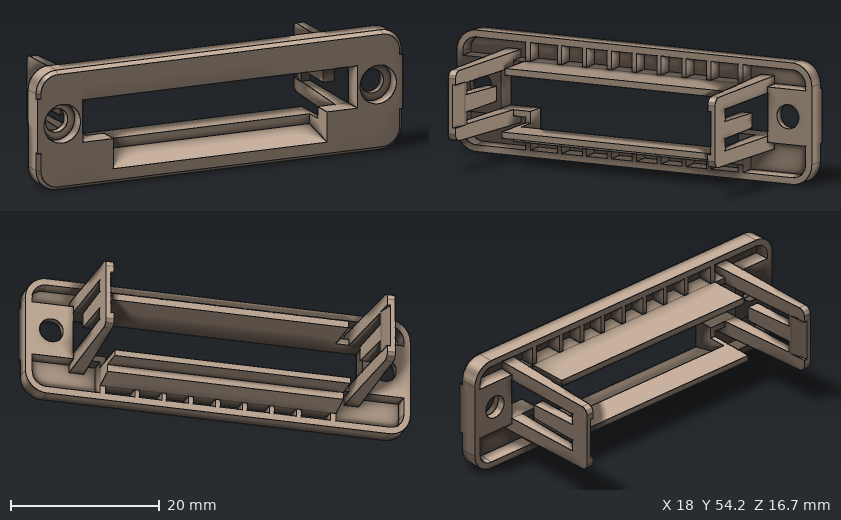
import cadquery as cq
import math

plate_length = 54.24
plate_height = 16.7
plate_thickness = 3.0
corner_radius = 3.0
back_chamfer = 0.5

rim_width = 0.95
window_wall = 0.85
pocket_depth = 2.0
pocket_draft = 4.0
end_pocket_radius = corner_radius - rim_width

axis_z = 0.9
screw_hole_diameter = 3.3
screw_hole_y = 23.45
counterbore_diameter = 5.4
counterbore_depth = 1.85
window_height = 5.9
window_half_length = 20.38

shelf_half_length = 16.6
rib_width = 0.65
rib_pitch = 3.8
ribs_each_side = 3
end_rib_width = 0.75

upper_shelf_reach = 5.8
upper_shelf_thickness = 0.95

lower_shelf_tip_top = -3.77
lower_shelf_root_top = -3.68
lower_shelf_reach = 6.7
lip_thickness = 0.86
upright_web_thickness = 0.8
sloping_web_thickness = 0.7
web_front_x = -3.4
web_corner_z = -5.63
web_angle = math.degrees(math.atan2(0.72, 3.4))

arm_length = 15.0
arm_outer_y = window_half_length
arm_tip_thickness = 1.13
arm_root_thickness = 1.94
arm_tip_height = 9.6
arm_root_height = 10.0
arm_corner_radius = 1.0
arm_bridge = 2.92
arm_slot_tip_height = 5.7
tongue_reach = 4.4
tongue_base_height = 2.4
tongue_end_height = 2.05
tip_recess_length = 2.5
tip_recess_thickness = 0.68

half_length = plate_length / 2
half_height = plate_height / 2
rim_y = half_length - rim_width
rim_z = half_height - rim_width
window_top = axis_z + window_height / 2
window_bottom = axis_z - window_height / 2
upper_wall_top = window_top + window_wall
lower_wall_bottom = window_bottom - window_wall
inner_half_length = shelf_half_length - end_rib_width
web_slope = math.tan(math.radians(web_angle))
web_vertical = sloping_web_thickness / math.cos(math.radians(web_angle))
web_back_x = web_front_x + upright_web_thickness


def box(x_range, y_range, z_range):
    """Axis-aligned box from three (low, high) pairs."""
    lows = (x_range[0], y_range[0], z_range[0])
    sizes = [high - low for low, high in (x_range, y_range, z_range)]
    return cq.Workplane("XY").box(*sizes, centered=False).translate(lows)


def side_prism(points, y_low, y_high):
    """Outline in X and Z, extruded from y_low to y_high."""
    prism = cq.Workplane("XZ").polyline(points).close().extrude(y_low - y_high)
    return prism.translate((0, y_low, 0))


def both_ends(feature):
    """A feature together with its mirror image about Y = 0."""
    return feature.union(feature.mirror("XZ"))


def web_underside(x):
    """Height of the sloping underside of the lower web."""
    return web_corner_z - (x - web_front_x) * web_slope


web_root_z = web_underside(0)


def make_plate():
    """Rounded plate with chamfered back edge, left square on the end tabs."""
    plate = cq.Workplane("YZ").rect(plate_length, plate_height).extrude(plate_thickness)
    plate = plate.edges("|X").fillet(corner_radius)
    plate = plate.faces(">X").edges().chamfer(back_chamfer)
    tab = box(
        (0, plate_thickness),
        (half_length - 2 * back_chamfer, half_length),
        (lower_wall_bottom, upper_wall_top),
    )
    return plate.union(both_ends(tab))


def drafted_pocket(outline):
    """Pocket sunk from the front face, with drafted walls."""
    return outline.extrude(pocket_depth, taper=pocket_draft)


def end_pocket(wall_z, side):
    """Pockets at both ends, above (side = 1) or below (side = -1) the screw holes."""
    arc_shift = end_pocket_radius * (1 - math.sqrt(0.5))
    outline = (
        cq.Workplane("YZ")
        .moveTo(shelf_half_length, wall_z)
        .lineTo(rim_y, wall_z)
        .lineTo(rim_y, side * (rim_z - end_pocket_radius))
        .threePointArc(
            (rim_y - arc_shift, side * (rim_z - arc_shift)),
            (rim_y - end_pocket_radius, side * rim_z),
        )
        .lineTo(shelf_half_length, side * rim_z)
        .close()
    )
    return both_ends(drafted_pocket(outline))


def rib_row_pockets(z_low, z_high):
    """Row of pockets along the plate, split by ribs."""
    rib_centres = [index * rib_pitch for index in range(-ribs_each_side, ribs_each_side + 1)]
    starts = [-inner_half_length] + [centre + rib_width / 2 for centre in rib_centres]
    ends = [centre - rib_width / 2 for centre in rib_centres] + [inner_half_length]
    row = cq.Workplane("YZ")
    for start, end in zip(starts, ends):
        outline = cq.Workplane("YZ").center((start + end) / 2, (z_low + z_high) / 2)
        row = row.add(drafted_pocket(outline.rect(end - start, z_high - z_low)))
    return row.combine()


def screw_holes():
    """Through holes at both ends, counterbored from the back."""
    centre = cq.Workplane("YZ").center(screw_hole_y, axis_z)
    hole = centre.circle(screw_hole_diameter / 2).extrude(plate_thickness)
    counterbore = (
        centre.workplane(offset=plate_thickness - counterbore_depth)
        .circle(counterbore_diameter / 2)
        .extrude(counterbore_depth)
    )
    return both_ends(hole.union(counterbore))


def window():
    return box(
        (0, plate_thickness),
        (-window_half_length, window_half_length),
        (window_bottom, window_top),
    )


def upper_shelf():
    return box(
        (-upper_shelf_reach, pocket_depth),
        (-shelf_half_length, shelf_half_length),
        (window_top, window_top + upper_shelf_thickness),
    )


def lower_shelf():
    """Lip, upright web and sloping web in one solid block, before the channel is cut."""
    points = [
        (-lower_shelf_reach, lower_shelf_tip_top),
        (0, lower_shelf_root_top),
        (plate_thickness, lower_shelf_root_top),
        (plate_thickness, web_root_z),
        (0, web_root_z),
        (web_front_x, web_corner_z),
        (web_front_x, lower_shelf_tip_top - lip_thickness),
        (-lower_shelf_reach, lower_shelf_tip_top - lip_thickness),
    ]
    return side_prism(points, -shelf_half_length, shelf_half_length)


def lower_channel():
    """Channel behind the upright web, open upwards into the window."""
    points = [
        (web_back_x, window_bottom),
        (plate_thickness, window_bottom),
        (plate_thickness, web_underside(plate_thickness) + web_vertical),
        (web_back_x, web_underside(web_back_x) + web_vertical),
    ]
    return side_prism(points, -inner_half_length, inner_half_length)


def extended(tip_value, root_value):
    """Value at the pocket floor of a taper given at the arm tip and the plate face."""
    return root_value + (root_value - tip_value) * pocket_depth / arm_length


def tapered_bar(start_x, start_height, end_x, end_height):
    """Symmetric bar about the arm axis, spanning the arm's thickness in Y."""
    points = [
        (start_x, axis_z - start_height / 2),
        (start_x, axis_z + start_height / 2),
        (end_x, axis_z + end_height / 2),
        (end_x, axis_z - end_height / 2),
    ]
    return side_prism(points, arm_outer_y - 2 * arm_root_thickness, arm_outer_y)


def arms():
    """Pair of tapered snap arms, each with a tongue between two legs."""
    root_height = extended(arm_tip_height, arm_root_height)
    root_thickness = extended(arm_tip_thickness, arm_root_thickness)
    slot_x = arm_bridge - arm_length

    outline = tapered_bar(-arm_length, arm_tip_height, pocket_depth, root_height)
    outline = outline.edges("<X and |Y").fillet(arm_corner_radius)
    slot = tapered_bar(slot_x, arm_slot_tip_height, 0, window_height)
    tongue = tapered_bar(slot_x, tongue_base_height, -tongue_reach, tongue_end_height)

    plan_points = [
        (-arm_length, arm_outer_y),
        (pocket_depth, arm_outer_y),
        (pocket_depth, arm_outer_y - root_thickness),
        (-arm_length, arm_outer_y - arm_tip_thickness),
    ]
    plan = cq.Workplane("XY").polyline(plan_points).close().extrude(plate_height, both=True)

    taper_rate = (arm_root_thickness - arm_tip_thickness) / arm_length
    recess_end_y = arm_outer_y - arm_tip_thickness - taper_rate * tip_recess_length
    recess_points = [
        (-arm_length, arm_outer_y - tip_recess_thickness),
        (tip_recess_length - arm_length, recess_end_y),
        (-arm_length, recess_end_y),
    ]
    recess = cq.Workplane("XY").polyline(recess_points).close().extrude(window_height)
    recess = recess.translate((0, 0, window_bottom))

    arm = outline.cut(slot).cut(window()).union(tongue).intersect(plan).cut(recess)
    return both_ends(arm)


result = make_plate()
result = result.cut(end_pocket(upper_wall_top, 1))
result = result.cut(end_pocket(lower_wall_bottom, -1))
result = result.cut(rib_row_pockets(window_top + upper_shelf_thickness, rim_z))
result = result.cut(rib_row_pockets(-rim_z, web_corner_z))
result = result.cut(screw_holes())
result = result.cut(window())
result = result.union(lower_shelf()).cut(lower_channel())
result = result.union(upper_shelf())
result = result.union(arms())